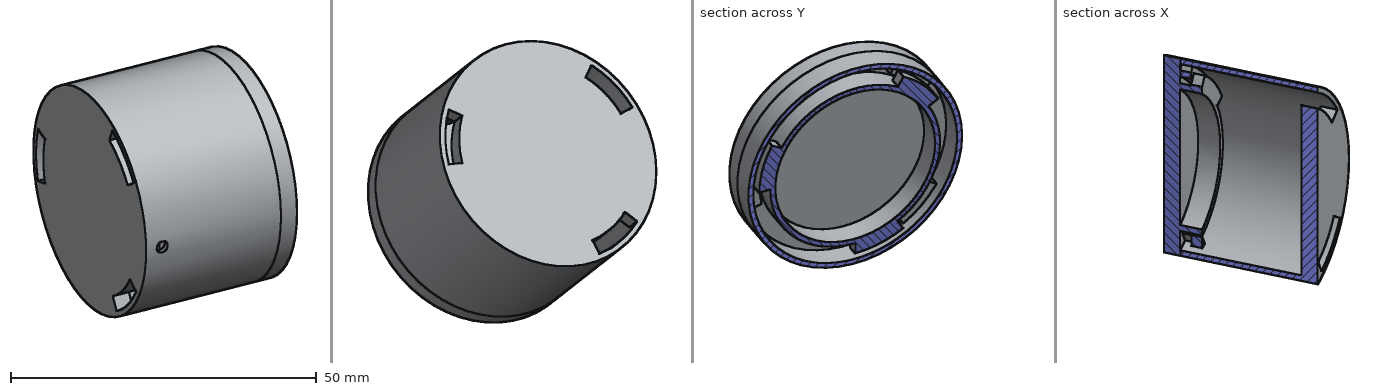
import cadquery as cq
import math


outer_radius = 39 / 2
total_length = 28
lid_thickness = 3
housing_length = total_length - lid_thickness

bore_radius = 37 / 2
floor_thickness = 3

lug_angles = (50, 180, 315)
lug_span = 27
lug_inner_radius = 16.5
lug_thickness = 2
slot_span = 30
slot_inner_radius = 16

side_hole_radius = 2 / 2
side_hole_y = 3

skirt_outer_radius = 31 / 2
skirt_inner_radius = 29 / 2
tab_outer_radius = 17.5
tab_count = 3
tab_span = 30
tab_pitch = 360 / tab_count
first_tab_start = 30
tab_thickness = 2

lug_y = housing_length - lug_thickness
tab_y = lug_y - tab_thickness


def polar(radius, angle):
    """Point at a radius and an angle in degrees, measured from +X toward +Z."""
    return (radius * math.cos(math.radians(angle)), radius * math.sin(math.radians(angle)))


def disc(radius, start_y, length):
    """Solid cylinder about the Y axis, running toward +Y from start_y."""
    return cq.Workplane("XZ", origin=(0, start_y, 0)).circle(radius).extrude(-length)


def ring_sector(inner_radius, sector_outer_radius, start_angle, span, start_y, length):
    """Piece of a ring about the Y axis, running toward +Y from start_y."""
    middle_angle = start_angle + span / 2
    end_angle = start_angle + span
    return (
        cq.Workplane("XZ", origin=(0, start_y, 0))
        .moveTo(*polar(inner_radius, start_angle))
        .lineTo(*polar(sector_outer_radius, start_angle))
        .threePointArc(polar(sector_outer_radius, middle_angle), polar(sector_outer_radius, end_angle))
        .lineTo(*polar(inner_radius, end_angle))
        .threePointArc(polar(inner_radius, middle_angle), polar(inner_radius, start_angle))
        .close()
        .extrude(-length)
    )


def make_housing():
    """Cup with a slotted floor, lugs at its mouth and a small side hole."""
    cup = disc(outer_radius, 0, housing_length)
    cup = cup.cut(disc(bore_radius, floor_thickness, housing_length - floor_thickness))

    wall_middle_radius = (bore_radius + outer_radius) / 2
    for angle in lug_angles:
        lug = ring_sector(
            lug_inner_radius, wall_middle_radius, angle - lug_span / 2, lug_span, lug_y, lug_thickness
        )
        slot = ring_sector(
            slot_inner_radius, bore_radius, angle - slot_span / 2, slot_span, 0, floor_thickness
        )
        cup = cup.union(lug).cut(slot)

    side_hole = (
        cq.Workplane("YZ", origin=(bore_radius, 0, 0))
        .center(side_hole_y, 0)
        .circle(side_hole_radius)
        .extrude(outer_radius - bore_radius)
    )
    return cup.cut(side_hole)


def make_lid():
    """Disc with a skirt that enters the housing and carries the locking tabs."""
    cap = disc(outer_radius, housing_length, lid_thickness)
    skirt_length = housing_length - tab_y
    skirt = disc(skirt_outer_radius, tab_y, skirt_length).cut(disc(skirt_inner_radius, tab_y, skirt_length))
    cap = cap.union(skirt)

    skirt_middle_radius = (skirt_inner_radius + skirt_outer_radius) / 2
    for index in range(tab_count):
        start_angle = first_tab_start + index * tab_pitch
        tab = ring_sector(
            skirt_middle_radius, tab_outer_radius, start_angle, tab_span, tab_y, tab_thickness
        )
        cap = cap.union(tab)
    return cap


housing = make_housing()
lid = make_lid()

result = cq.Compound.makeCompound([housing.val(), lid.val()])